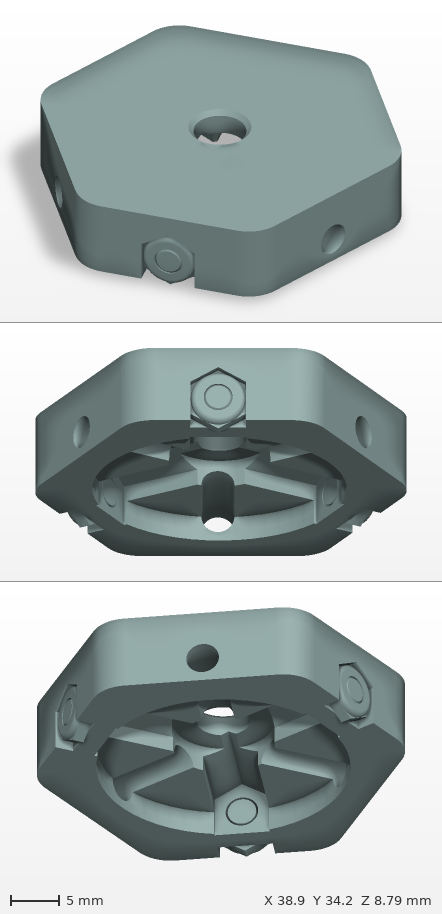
import cadquery as cq
import math

body_height = 8.2
nut_face = 17.55
side_hole_face = 17.17
back_face = 16.63
corner_radius = 4.0

bore_diameter = 5.5
bore_chamfer = 0.5

recess_radius = 13.2
recess_depth = 2.65
hub_pocket_radius = 5.35
hub_pocket_depth = 5.55

screw_height = 2.7
screw_offset = 0.15
screw_diameter = 3.0
screw_clearance = 3.4
screw_tip_chamfer = 0.25
nut_directions = (270, 30, 150)

nut_flats = 5.7
pocket_flats = 5.8
nut_pocket_depth = 1.95
nut_setback = 0.1
collar_height = 0.62
collar_fillet = 0.55

nut_seat = nut_face - nut_pocket_depth
nut_end = nut_face - nut_setback
nut_length = nut_end - nut_seat
hex_length = nut_length - collar_height
screw_length = nut_end - recess_radius

face_distances = {
    30: nut_face,
    90: back_face,
    150: nut_face,
    210: side_hole_face,
    270: nut_face,
    330: side_hole_face,
}


def along_screw(distance):
    """Workplane across the +X screw axis, facing outward, at a distance from the bore axis."""
    return cq.Workplane("YZ", origin=(distance, -screw_offset, screw_height))


def turned(shape, direction):
    """Turn a shape built on the +X screw axis to another direction about the bore."""
    return shape.rotate((0, 0, 0), (0, 0, 1), direction)


def hexagon(plane, across_flats):
    """Hexagon with one corner straight up and flats left and right."""
    across_corners = across_flats / math.cos(math.radians(30))
    return plane.transformed(rotate=(0, 0, 90)).polygon(6, across_corners)


def corner_between(direction, next_direction):
    """Point where two neighbouring outer faces meet."""
    angle = math.radians(direction)
    turn = math.radians(next_direction - direction)
    distance = face_distances[direction]
    run = (face_distances[next_direction] - distance * math.cos(turn)) / math.sin(turn)
    x = distance * math.cos(angle) - run * math.sin(angle)
    y = distance * math.sin(angle) + run * math.cos(angle)
    return x, y


def housing_block():
    directions = list(face_distances)
    next_directions = directions[1:] + directions[:1]
    corners = [corner_between(*pair) for pair in zip(directions, next_directions)]
    block = cq.Workplane("XY").polyline(corners).close().extrude(body_height)
    return block.edges("|Z").fillet(corner_radius)


def bore():
    hole = cq.Workplane("XY").circle(bore_diameter / 2).extrude(body_height)
    top_radius = bore_diameter / 2 + bore_chamfer
    chamfer = (
        cq.Workplane("XY", origin=(0, 0, body_height))
        .circle(top_radius)
        .workplane(offset=-bore_chamfer)
        .circle(bore_diameter / 2)
        .loft()
    )
    return hole.union(chamfer)


def underside_hollow():
    recess = cq.Workplane("XY").circle(recess_radius).extrude(recess_depth)
    hub_pocket = cq.Workplane("XY").circle(hub_pocket_radius).extrude(hub_pocket_depth)
    return recess.union(hub_pocket)


def hex_slot(start, end):
    """Nut-shaped channel, open to the underside, between two distances from the bore axis."""
    length = end - start
    roof = hexagon(along_screw(start), pocket_flats).extrude(length)
    lower_half = along_screw(start).center(0, -screw_height / 2).rect(pocket_flats, screw_height)
    return roof.union(lower_half.extrude(length))


def screw_hole():
    """Clearance hole that runs on across the bore and out of the opposite face."""
    return along_screw(-nut_face).circle(screw_clearance / 2).extrude(nut_face + nut_seat)


def make_housing():
    body = housing_block().cut(bore()).cut(underside_hollow())
    cutters = (hex_slot(0, recess_radius), hex_slot(nut_seat, nut_face), screw_hole())
    for direction in nut_directions:
        for cutter in cutters:
            body = body.cut(turned(cutter, direction))
    return body


def make_nut(direction):
    hex_part = hexagon(along_screw(nut_seat), nut_flats).extrude(hex_length)
    collar = along_screw(nut_seat).circle(nut_flats / 2).extrude(nut_length)
    collar = collar.faces(">X").edges().fillet(collar_fillet)
    thread_hole = along_screw(nut_seat).circle(screw_diameter / 2).extrude(nut_length)
    return turned(hex_part.union(collar).cut(thread_hole), direction)


def make_screw(direction):
    rod = along_screw(recess_radius).circle(screw_diameter / 2).extrude(screw_length)
    return turned(rod.faces(">X").chamfer(screw_tip_chamfer), direction)


housing = make_housing()
nuts = [make_nut(direction) for direction in nut_directions]
screws = [make_screw(direction) for direction in nut_directions]

result = cq.Compound.makeCompound([
    housing.val(),
    *[nut.val() for nut in nuts],
    *[screw.val() for screw in screws],
])